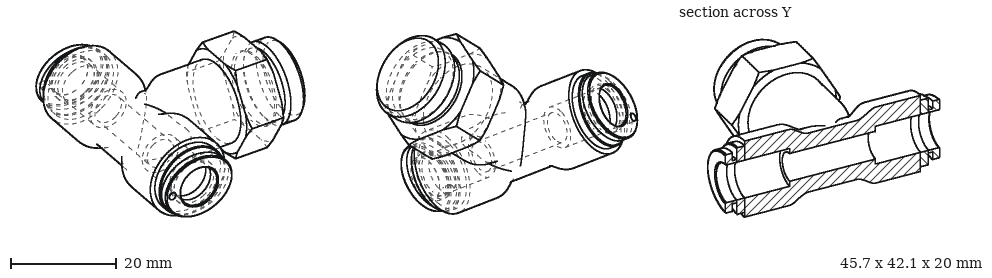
import cadquery as cq
import math

OVERALL_LENGTH = 45.7
OVERALL_DEPTH = 42.1
SIDES = (-1, 1)
X_AXIS = (1, 0)
Y_AXIS = (0, 1)

TEE_LENGTH = 37.47
ARM_DIAMETER = 16.75
WAIST_DIAMETER = 13.02
WAIST_END = 5.75
FLARE_END = 8.75
FLARE_FILLET = 2.0
BRANCH_LENGTH = 18.65
FLOW_BORE = 6.0
TUBE_BORE = 8.2
TUBE_STOP = 9.15

RING_DIAMETER = 14.7
RING_LENGTH = 1.7
RING_CHAMFER = 0.2

FLANGE_WIDTH = 15.0
FLANGE_HEIGHT = 12.9
FLANGE_THICKNESS = 1.55
FLANGE_CHAMFER = 0.25
BUTTON_NECK_DIAMETER = 9.6
MOUTH_CHAMFER = 0.25
MARK_HOLE_DIAMETER = 1.5
MARK_HOLE_OFFSET = 6.0

HEX_ACROSS_FLATS = 20.0
HEX_THICKNESS = 8.1
HEX_CHAMFER_DIAMETER = 20.85
HEX_CHAMFER_HEIGHT = 0.5
STUD_DIAMETER = 16.7
STUD_CHAMFER = 0.9
STUD_BAND_LENGTH = 3.75
RELIEF_DIAMETER = 14.7
RELIEF_TAPER = 0.7
RELIEF_FLARE_LENGTH = 0.55
RELIEF_FLARE = 0.2

TEE_END = TEE_LENGTH / 2
RING_END = TEE_END + RING_LENGTH
FLANGE_START = OVERALL_LENGTH / 2 - FLANGE_THICKNESS
BUTTON_END = OVERALL_LENGTH / 2
HEX_END = BRANCH_LENGTH + HEX_THICKNESS
STUD_END = OVERALL_DEPTH - ARM_DIAMETER / 2


def cylinder_x(diameter, start, end):
    """Cylinder on the X axis between two X positions."""
    return cq.Workplane("YZ", origin=(start, 0, 0)).circle(diameter / 2).extrude(end - start)


def revolve_profile(points, axis_end):
    """Full turn of a closed XY outline about the line from the origin to axis_end."""
    return cq.Workplane("XY").polyline(points).close().revolve(360, (0, 0), axis_end)


def make_arm(length):
    """Waist that flares with rounded corners to a full-diameter arm along +X."""
    outline = [
        (0, 0),
        (0, WAIST_DIAMETER / 2),
        (WAIST_END, WAIST_DIAMETER / 2),
        (FLARE_END, ARM_DIAMETER / 2),
        (length, ARM_DIAMETER / 2),
        (length, 0),
    ]
    arm = revolve_profile(outline, X_AXIS)
    flare_edges = cq.selectors.BoxSelector(
        (WAIST_END / 2, -ARM_DIAMETER, -ARM_DIAMETER),
        ((FLARE_END + length) / 2, ARM_DIAMETER, ARM_DIAMETER),
    )
    return arm.edges("%CIRCLE").edges(flare_edges).fillet(FLARE_FILLET)


def make_tee():
    """Two run arms and a branch of the same shape, bored through along the run."""
    right_arm = make_arm(TEE_END)
    left_arm = right_arm.mirror("YZ")
    branch = make_arm(BRANCH_LENGTH).rotate((0, 0, 0), (0, 0, 1), 90)
    tee = right_arm.union(left_arm).union(branch)
    tee = tee.cut(cylinder_x(FLOW_BORE, -TEE_END, TEE_END))
    for side in SIDES:
        tee = tee.cut(cylinder_x(TUBE_BORE, side * TUBE_STOP, side * TEE_END))
    return tee


def make_ring():
    """Retaining ring on the +X end of the tee."""
    ring = cylinder_x(RING_DIAMETER, TEE_END, RING_END).faces(">X").edges().chamfer(RING_CHAMFER)
    return ring.cut(cylinder_x(TUBE_BORE, TEE_END, RING_END))


def make_button():
    """Release button on the +X end: oval flange, round neck and tube bore."""
    flange = (
        cq.Workplane("YZ", origin=(FLANGE_START, 0, 0))
        .ellipse(FLANGE_WIDTH / 2, FLANGE_HEIGHT / 2)
        .extrude(FLANGE_THICKNESS)
        .faces(">X").edges().chamfer(FLANGE_CHAMFER)
    )
    button = flange.union(cylinder_x(BUTTON_NECK_DIAMETER, RING_END, FLANGE_START))
    button = button.cut(cylinder_x(TUBE_BORE, RING_END, BUTTON_END))
    button = button.faces(">X").edges("%CIRCLE").chamfer(MOUTH_CHAMFER)
    mark_hole = cylinder_x(MARK_HOLE_DIAMETER, FLANGE_START, BUTTON_END)
    return button.cut(mark_hole.translate((0, -MARK_HOLE_OFFSET, 0)))


def make_hexagon():
    """Hexagon with flats on +Z and -Z, its corners turned down to a cone at both faces."""
    across_corners = HEX_ACROSS_FLATS / math.cos(math.radians(30))
    hexagon = (
        cq.Workplane("XZ", origin=(0, BRANCH_LENGTH, 0)).polygon(6, across_corners).extrude(-HEX_THICKNESS)
    )
    turned_outline = [
        (0, BRANCH_LENGTH),
        (HEX_CHAMFER_DIAMETER / 2, BRANCH_LENGTH),
        (across_corners / 2, BRANCH_LENGTH + HEX_CHAMFER_HEIGHT),
        (across_corners / 2, HEX_END - HEX_CHAMFER_HEIGHT),
        (HEX_CHAMFER_DIAMETER / 2, HEX_END),
        (0, HEX_END),
    ]
    turned = revolve_profile(turned_outline, Y_AXIS)
    return hexagon.intersect(turned)


def make_stud():
    """Hexagon with a relieved, chamfered round end."""
    radius = STUD_DIAMETER / 2
    relief_radius = RELIEF_DIAMETER / 2
    band_start = STUD_END - STUD_BAND_LENGTH
    outline = [
        (0, HEX_END),
        (relief_radius + RELIEF_FLARE, HEX_END),
        (relief_radius, HEX_END + RELIEF_FLARE_LENGTH),
        (relief_radius, band_start - RELIEF_TAPER),
        (radius, band_start),
        (radius, STUD_END - STUD_CHAMFER),
        (radius - STUD_CHAMFER, STUD_END),
        (0, STUD_END),
    ]
    round_end = revolve_profile(outline, Y_AXIS)
    return make_hexagon().union(round_end)


def on_side(body, side):
    """Solid at the +X end, or its mirror image at the -X end."""
    return body.val() if side > 0 else body.mirror("YZ").val()


tee = make_tee()
stud = make_stud()
rings = [on_side(make_ring(), side) for side in SIDES]
buttons = [on_side(make_button(), side) for side in SIDES]

result = cq.Compound.makeCompound([tee.val(), stud.val(), *rings, *buttons])